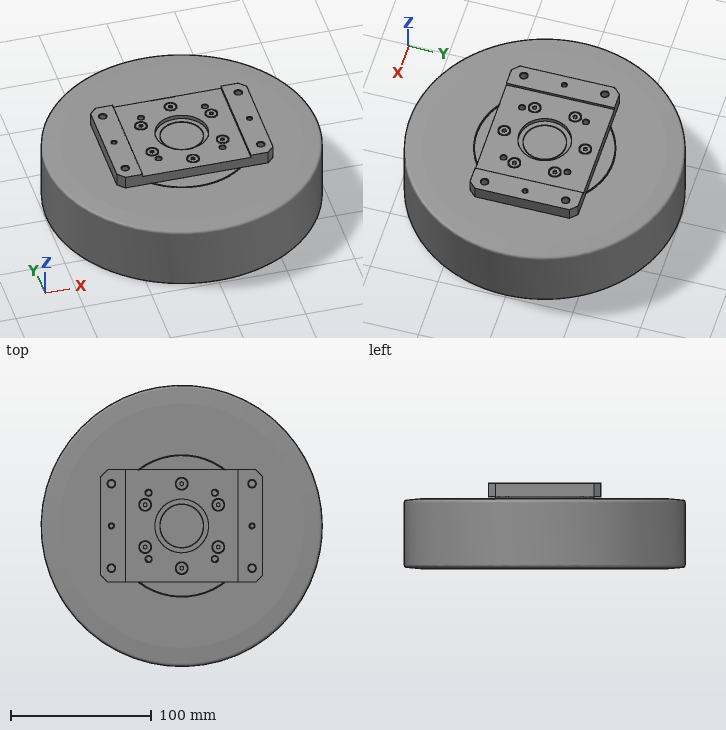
import cadquery as cq
import math

body_diameter = 200.0
body_height = 50.0
flat_diameter = 174.0
rim_drop = 1.2
rim_fillet = 2.0

disc_diameter = 100.0
disc_gap = 0.5
disc_gap_depth = 1.0
boss_diameter = 70.0

plate_length = 115.2
plate_width = 80.0
plate_bottom = 51.2
plate_top = 61.0
plate_corner_chamfer = 5.0
channel_width = 80.0
channel_depth = 2.0
channel_floor = plate_top - channel_depth

bore_diameter = 38.2
bore_depth = 3.0
bore_groove_diameter = 31.2
bore_groove_width = 0.2
bore_groove_depth = 0.5

countersink_angle = 45
corner_hole_diameter = 5.0
corner_sink_diameter = 6.0
corner_hole_x = 50.0
corner_hole_y = 30.0
side_hole_diameter = 3.0
side_sink_diameter = 4.2
side_hole_depth = 8.0
channel_hole_diameter = 4.2
channel_sink_diameter = 5.0
channel_hole_offset = 23.5

screw_count = 6
screw_circle_radius = 30.0
first_screw_angle = 90
screw_head_diameter = 8.0
screw_gap = 0.5
screw_gap_depth = 1.0
socket_sides = 6
socket_across_corners = 3.0
socket_depth = 1.0


def cylinder(diameter, bottom, top, points=((0, 0),)):
    height = top - bottom
    return cq.Workplane("XY").workplane(offset=bottom).pushPoints(points).circle(diameter / 2).extrude(height)


def ring(outer_diameter, width, depth, top, points=((0, 0),)):
    outer = cylinder(outer_diameter, top - depth, top, points)
    return outer.cut(cylinder(outer_diameter - 2 * width, top - depth, top, points))


def make_body():
    rim_radius = body_diameter / 2
    flat_radius = flat_diameter / 2
    body = (
        cq.Workplane("XZ")
        .moveTo(0, 0)
        .lineTo(flat_radius, 0)
        .lineTo(rim_radius, rim_drop)
        .lineTo(rim_radius, body_height - rim_drop)
        .lineTo(flat_radius, body_height)
        .lineTo(0, body_height)
        .close()
        .revolve(360, (0, 0, 0), (0, 1, 0))
    )
    outer_edges = cq.selectors.RadiusNthSelector(-1)
    body = body.edges("%CIRCLE").edges(outer_edges).fillet(rim_fillet)
    groove = ring(disc_diameter + 2 * disc_gap, disc_gap, disc_gap_depth, body_height)
    boss = cylinder(boss_diameter, body_height, plate_bottom)
    return body.cut(groove).union(boss)


def make_plate():
    plate = (
        cq.Workplane("XY")
        .workplane(offset=plate_bottom)
        .rect(plate_length, plate_width)
        .extrude(plate_top - plate_bottom)
        .edges("|Z")
        .chamfer(plate_corner_chamfer)
    )
    channel = (
        cq.Workplane("XY")
        .workplane(offset=channel_floor)
        .rect(channel_width, plate_width)
        .extrude(channel_depth)
    )
    return plate.cut(channel)


def mirrored_points(x, y):
    return [(sx * x, sy * y) for sx in (-1, 1) for sy in (-1, 1)]


def cut_bore(part):
    bore_floor = channel_floor - bore_depth
    part = part.cut(cylinder(bore_diameter, bore_floor, channel_floor))
    return part.cut(ring(bore_groove_diameter, bore_groove_width, bore_groove_depth, bore_floor))


def cut_countersunk_holes(plate, diameter, sink_diameter, bottom, top, points):
    sink_depth = (sink_diameter - diameter) / 2 / math.tan(math.radians(countersink_angle))
    sinks = (
        cq.Workplane("XY")
        .workplane(offset=top)
        .pushPoints(points)
        .circle(sink_diameter / 2)
        .extrude(-sink_depth, taper=countersink_angle)
    )
    return plate.cut(cylinder(diameter, bottom, top, points)).cut(sinks)


def cut_plate_holes(plate):
    corners = mirrored_points(corner_hole_x, corner_hole_y)
    sides = [(-corner_hole_x, 0), (corner_hole_x, 0)]
    inner = mirrored_points(channel_hole_offset, channel_hole_offset)
    side_floor = plate_top - side_hole_depth
    hole_groups = [
        (corner_hole_diameter, corner_sink_diameter, plate_bottom, plate_top, corners),
        (side_hole_diameter, side_sink_diameter, side_floor, plate_top, sides),
        (channel_hole_diameter, channel_sink_diameter, plate_bottom, channel_floor, inner),
    ]
    for group in hole_groups:
        plate = cut_countersunk_holes(plate, *group)
    return plate


def cut_screws(plate):
    centers = []
    for index in range(screw_count):
        angle = math.radians(index * 360 / screw_count)
        centers.append((screw_circle_radius * math.cos(angle), screw_circle_radius * math.sin(angle)))
    gaps = ring(screw_head_diameter + 2 * screw_gap, screw_gap, screw_gap_depth, channel_floor, centers)
    sockets = (
        cq.Workplane("XY")
        .workplane(offset=channel_floor - socket_depth)
        .pushPoints(centers)
        .polygon(socket_sides, socket_across_corners)
        .extrude(socket_depth)
    )
    for pattern in (gaps, sockets):
        plate = plate.cut(pattern.rotate((0, 0, 0), (0, 0, 1), first_screw_angle))
    return plate


plate = cut_screws(cut_plate_holes(make_plate()))
result = cut_bore(make_body().union(plate))